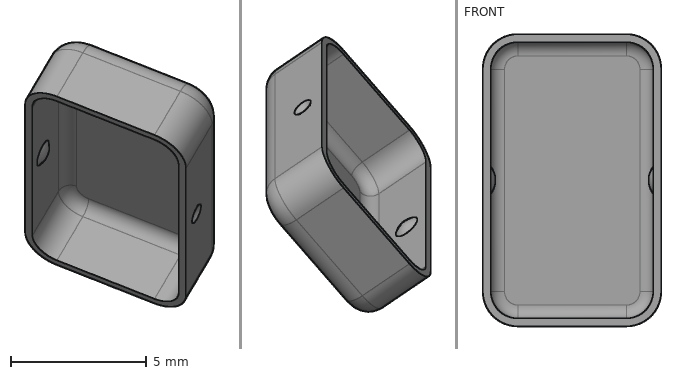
import cadquery as cq
import math

width = 6.6
depth = 3.0
height = 10.8

wall = 0.3
corner_radius = 1.3
back_edge_radius = 0.8

dimple_radius = 0.5
dimple_mouth_radius = 0.38
dimple_from_rim = 0.9

rim_y = -depth / 2


def rounded_block(inset):
    """Block with rounded corners and back edge, offset inwards on every side but the rim."""
    block = (
        cq.Workplane("XY")
        .box(width - 2 * inset, depth - inset, height - 2 * inset)
        .translate((0, rim_y + (depth - inset) / 2, 0))
    )
    block = block.edges("|Y").fillet(corner_radius - inset)
    return block.faces(">Y").edges().fillet(back_edge_radius - inset)


def dimple_spheres(radius):
    """Pair of spheres centred just outside the two long side walls."""
    centre_offset = math.sqrt(dimple_radius**2 - dimple_mouth_radius**2)
    centre_x = width / 2 + centre_offset
    centre_y = rim_y + dimple_from_rim
    return (
        cq.Workplane("XY")
        .pushPoints([(-centre_x, centre_y), (centre_x, centre_y)])
        .sphere(radius, direct=(1, 0, 0))
    )


shell = rounded_block(0).cut(dimple_spheres(dimple_radius))
cavity = rounded_block(wall).cut(dimple_spheres(dimple_radius + wall))

result = shell.cut(cavity)